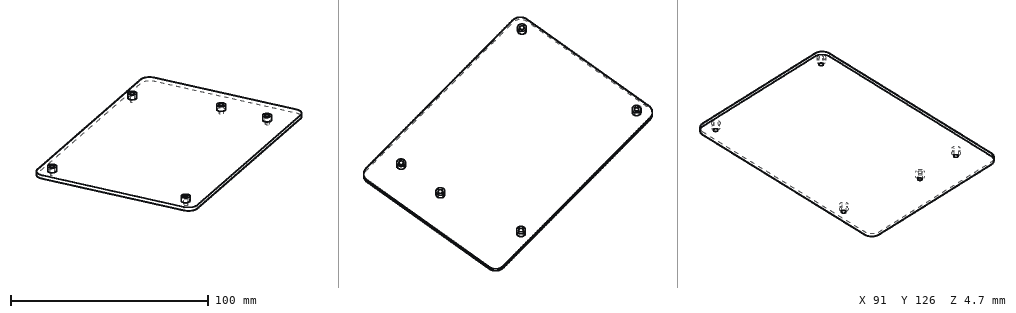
import cadquery as cq

plate_width = 91.0
plate_length = 126.0
total_height = 4.7
plate_thickness = 2.0
corner_radius = 5.0

standoff_height = total_height - plate_thickness
standoff_diameter = 4.5
bore_diameter = 2.3

standoff_centres = [
    (-38.0, -56.2),
    (37.9, -56.2),
    (-39.7, 37.0),
    (6.5, 45.6),
    (32.9, 45.2),
]

plate = (
    cq.Workplane("XY")
    .rect(plate_width, plate_length)
    .extrude(plate_thickness)
    .edges("|Z")
    .fillet(corner_radius)
)

standoffs = (
    cq.Workplane("XY", origin=(0, 0, plate_thickness))
    .pushPoints(standoff_centres)
    .circle(standoff_diameter / 2)
    .extrude(standoff_height)
)

bores = (
    cq.Workplane("XY")
    .pushPoints(standoff_centres)
    .circle(bore_diameter / 2)
    .extrude(total_height)
)

result = plate.union(standoffs).cut(bores)